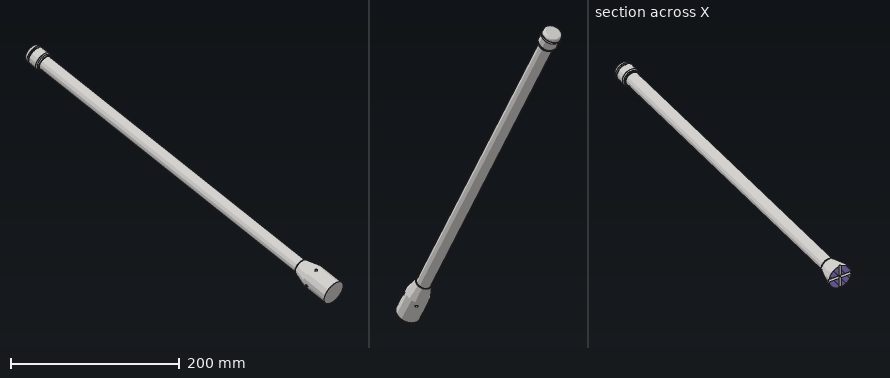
import cadquery as cq

total_length = 518.5
left_end = -total_length / 2
right_end = total_length / 2

rod_diameter = 18.5
cap_diameter = 24.5
cap_length = 21.0
nose_round = 3.35
groove_start = 5.0
groove_width = 2.5
collar_diameter = 21.0
collar_length = 2.0

socket_diameter = 31.5
neck_diameter = 20.5
socket_length = 56.0
cone_length = 20.0

cross_hole_diameter = 3.0
cross_hole_offset = 5.5

rod_radius = rod_diameter / 2
cap_radius = cap_diameter / 2
collar_radius = collar_diameter / 2
socket_radius = socket_diameter / 2
neck_radius = neck_diameter / 2

socket_start = right_end - socket_length
cone_end = socket_start + cone_length


def revolve_about_x(half_outline):
    return half_outline.close().revolve(360, (0, 0, 0), (1, 0, 0))


def make_rod():
    """Round rod whose cap has a rounded nose, a groove down to the rod, and a chamfer to a short collar."""
    flat_radius = cap_radius - nose_round
    groove_left = left_end + groove_start
    groove_right = groove_left + groove_width
    cap_end = left_end + cap_length
    collar_end = cap_end + collar_length
    chamfer = cap_radius - collar_radius
    half_outline = (
        cq.Workplane("XZ")
        .moveTo(left_end, 0)
        .lineTo(left_end, flat_radius)
        .radiusArc((left_end + nose_round, cap_radius), nose_round)
        .lineTo(groove_left, cap_radius)
        .lineTo(groove_left, rod_radius)
        .lineTo(groove_right, rod_radius)
        .lineTo(groove_right, cap_radius)
        .lineTo(cap_end - chamfer, cap_radius)
        .lineTo(cap_end, collar_radius)
        .lineTo(collar_end, collar_radius)
        .lineTo(collar_end, rod_radius)
        .lineTo(socket_start, rod_radius)
        .lineTo(socket_start, 0)
    )
    return revolve_about_x(half_outline)


def make_cross_hole(plane_name):
    """Cutter for a hole that runs through the socket, across its axis."""
    center = (cone_end + cross_hole_offset, 0, 0)
    return (
        cq.Workplane(plane_name, origin=center)
        .circle(cross_hole_diameter / 2)
        .extrude(socket_diameter, both=True)
    )


def make_socket():
    """Cone that widens from the rod to a cylinder, with a hole across it along Y and another along Z."""
    half_outline = (
        cq.Workplane("XZ")
        .moveTo(socket_start, 0)
        .lineTo(socket_start, neck_radius)
        .lineTo(cone_end, socket_radius)
        .lineTo(right_end, socket_radius)
        .lineTo(right_end, 0)
    )
    socket = revolve_about_x(half_outline)
    for plane_name in ("XY", "XZ"):
        socket = socket.cut(make_cross_hole(plane_name))
    return socket


rod = make_rod()
socket = make_socket()
result = cq.Compound.makeCompound([rod.val(), socket.val()])